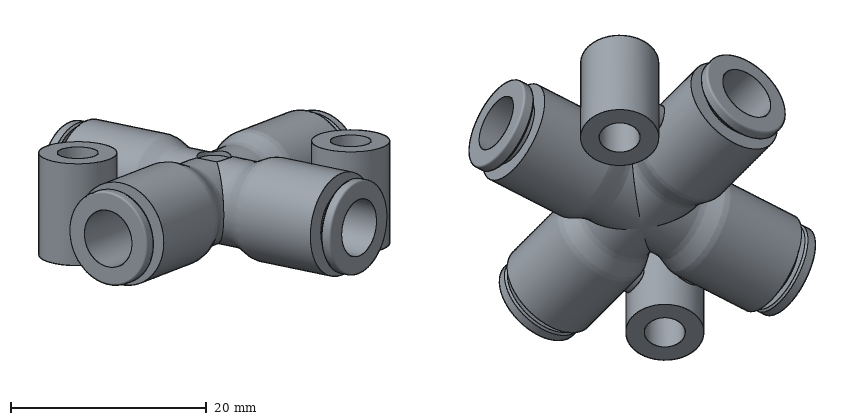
import cadquery as cq


branch_length = 18.35
body_radius = 5.45
body_end = 16.15
neck_radius = 4.5
cone_start = 4.77
cone_end = 6.9
cone_blend_radius = 1.6
bore_radius = 3.0

sleeve_radius = 3.65
flange_radius = 4.95
flange_thickness = 1.3
flange_edge = 0.22

eye_offset = 10.0
eye_radius = 4.0
eye_hole_radius = 2.1
eye_height = 2 * body_radius
pin_radius = 1.5

recess_radius = 1.75
recess_depth = 0.5

branch_angles = (0, 90, 180, 270)
eye_sides = (1, -1)


def cylinder_along(direction, start, radius, length):
    """Solid cylinder growing from a start point in the given direction."""
    solid = cq.Solid.makeCylinder(radius, length, cq.Vector(*start), cq.Vector(*direction))
    return cq.Workplane(solid)


def make_branch_body():
    """Neck, cone and body turned about X, with both cone edges blended."""
    profile = (
        cq.Workplane("XY")
        .polyline([
            (0, 0),
            (0, neck_radius),
            (cone_start, neck_radius),
            (cone_end, body_radius),
            (body_end, body_radius),
            (body_end, 0),
        ])
        .close()
    )
    body = profile.revolve(360, (0, 0, 0), (1, 0, 0))
    margin = cone_blend_radius / 2
    reach = body_radius + margin
    cone_edges = cq.selectors.BoxSelector(
        (cone_start - margin, -reach, -reach),
        (cone_end + margin, reach, reach),
        boundingbox=True,
    )
    return body.edges(cone_edges).edges("%CIRCLE").fillet(cone_blend_radius)


def make_sleeve():
    """Sleeve and its flange, chamfered towards the body and rounded at the outer end."""
    flange_start = branch_length - flange_thickness
    sleeve = cylinder_along((1, 0, 0), (cone_end, 0, 0), sleeve_radius, branch_length - cone_end)
    flange = cylinder_along((1, 0, 0), (flange_start, 0, 0), flange_radius, flange_thickness)
    flange = flange.faces("<X").edges().chamfer(flange_edge)
    flange = flange.faces(">X").edges().fillet(flange_edge)
    return sleeve.union(flange)


def make_eye(side):
    """Upright eye between two branches, with one pin to each of them."""
    centre = side * eye_offset
    eye = cylinder_along((0, 0, 1), (centre, centre, -eye_height / 2), eye_radius, eye_height)
    pin_length = eye_offset - (body_radius + bore_radius) / 2
    for direction in ((-side, 0, 0), (0, -side, 0)):
        eye = eye.union(cylinder_along(direction, (centre, centre, 0), pin_radius, pin_length))
    hole = cylinder_along((0, 0, 1), (centre, centre, -eye_height / 2), eye_hole_radius, eye_height)
    return eye.cut(hole)


branch = make_branch_body().union(make_sleeve())
result = branch
for angle in branch_angles[1:]:
    result = result.union(branch.rotate((0, 0, 0), (0, 0, 1), angle))

for side in eye_sides:
    result = result.union(make_eye(side))

for direction in ((1, 0, 0), (0, 1, 0)):
    bore_start = [-branch_length * component for component in direction]
    result = result.cut(cylinder_along(direction, bore_start, bore_radius, 2 * branch_length))

recess_floor = neck_radius - recess_depth
result = result.cut(cylinder_along((0, 0, 1), (0, 0, recess_floor), recess_radius, body_radius))